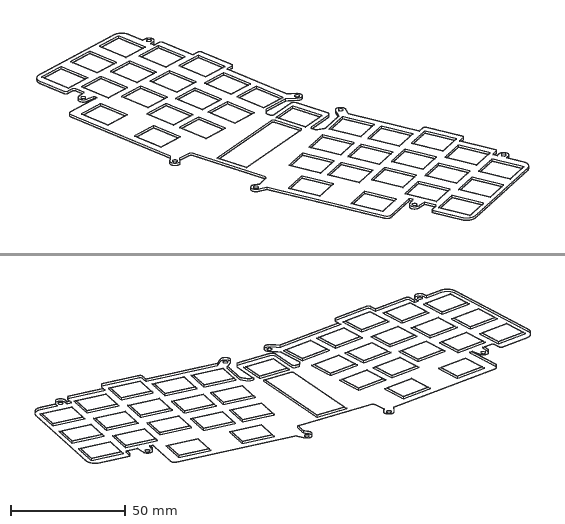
import cadquery as cq
import math


THICKNESS = 1.2
TILT_DEG = 7.0

PITCH = 19.05
SWITCH_WIDTH = 15.6
SWITCH_HEIGHT = 12.8
BLOCK_RIGHT = -17.83
HOME_Y = 4.08
STAGGER = PITCH / 4
COLUMN_STAGGERS = [0, 0, STAGGER, 0, -STAGGER]
ROW_OFFSETS = [-PITCH, 0, PITCH]
INNER_THUMB_UNITS = 2.0
OUTER_THUMB_UNITS = 1.25
THUMB_Y = HOME_Y - 2 * PITCH

RIM = 0.475
THUMB_SIDE_RIM = 0.8
COLUMN_3_SIDE_RIM = 0.4
COLUMN_3_TOP_RIM = 0.21
OUTER_COLUMN_TOP_RIM = 0.8
CELL_HALF = PITCH / 2
BLOCK_LEFT = BLOCK_RIGHT - len(COLUMN_STAGGERS) * PITCH - RIM
COLUMN_1_RIGHT = BLOCK_RIGHT - 4 * PITCH
COLUMN_2_RIGHT = BLOCK_RIGHT - 3 * PITCH - COLUMN_3_SIDE_RIM
COLUMN_3_RIGHT = BLOCK_RIGHT - 2 * PITCH + COLUMN_3_SIDE_RIM
LEVEL_TOP = HOME_Y + PITCH + CELL_HALF + RIM
COLUMN_3_TOP = HOME_Y + PITCH + CELL_HALF + STAGGER + COLUMN_3_TOP_RIM
COLUMN_1_TOP = HOME_Y + PITCH + CELL_HALF - STAGGER + OUTER_COLUMN_TOP_RIM
LEVEL_BOTTOM = HOME_Y - PITCH - CELL_HALF
COLUMN_1_BOTTOM = LEVEL_BOTTOM - STAGGER - RIM
THUMB_LEFT = BLOCK_RIGHT - (INNER_THUMB_UNITS + OUTER_THUMB_UNITS) * PITCH - THUMB_SIDE_RIM
THUMB_BOTTOM = THUMB_Y - CELL_HALF - RIM
FOOT_RIGHT = -16.2

OUTER_CORNER_RADIUS = 4.5
THUMB_CORNER_RADIUS = 2.0
SMALL_RADIUS = 1.0
FOOT_RADIUS = 1.5

LUG_RADIUS = 2.3
SCREW_DIAMETER = 2.1
TOP_OUTER_LUG = (-98.55, 30.35)
TOP_INNER_LUG = (-15.9, 34.7)
BOTTOM_OUTER_LUG = (-85.1, -28.4)
BOTTOM_INNER_LUG = (-16.0, -46.05)
LUGS = [TOP_OUTER_LUG, TOP_INNER_LUG, BOTTOM_OUTER_LUG, BOTTOM_INNER_LUG]

WEB_OVERLAP = 0.5
TOP_WEB_REACH_X = 2.7
TOP_WEB_REACH_Y = 3.8
BOTTOM_WEB_FLARE = 0.6
FOOT_WEB_LEFT = FOOT_RIGHT - 4.2
FOOT_WEB_RISE = 1.2

CENTRE_HALF_WIDTH = 10.0
CENTRE_TOP = 31.0
CENTRE_BOTTOM = -33.5
CENTRE_CORNER_RADIUS = 2.0
CENTRE_KEY_Y = 21.1
WINDOW_TOP = 12.2
WINDOW_BOTTOM = -31.0
WINDOW_RADIUS = 0.8

SLOT_SIDE_END_Y = 16.3
SLOT_BOTTOM_Y = 15.0
SLOT_BOTTOM_LEFT_X = -13.2
SLOT_RADIUS = 1.2


def tilt(x, y):
    """Turn a point of the left block frame into plate coordinates."""
    angle = math.radians(-TILT_DEG)
    return (x * math.cos(angle) - y * math.sin(angle), x * math.sin(angle) + y * math.cos(angle))


def toward(start, end, distance):
    """Return the point at a distance from start on the way to end."""
    fraction = distance / math.dist(start, end)
    return (start[0] + (end[0] - start[0]) * fraction, start[1] + (end[1] - start[1]) * fraction)


def rounded_plate(corners):
    """Extrude a closed outline of (point, radius) corners; radius 0 leaves a corner sharp."""
    points = [point for point, _ in corners]
    path = None
    for index, (corner, radius) in enumerate(corners):
        before = points[index - 1]
        after = points[(index + 1) % len(points)]
        if radius == 0:
            path = path.lineTo(*corner) if path else cq.Workplane("XY").moveTo(*corner)
            continue
        heading_before = math.atan2(before[1] - corner[1], before[0] - corner[0])
        heading_after = math.atan2(after[1] - corner[1], after[0] - corner[0])
        half_angle = abs(math.remainder(heading_after - heading_before, 2 * math.pi)) / 2
        setback = radius / math.tan(half_angle)
        arc_start = toward(corner, before, setback)
        arc_end = toward(corner, after, setback)
        chord_middle = ((arc_start[0] + arc_end[0]) / 2, (arc_start[1] + arc_end[1]) / 2)
        arc_middle = toward(corner, chord_middle, radius / math.sin(half_angle) - radius)
        path = path.lineTo(*arc_start).threePointArc(arc_middle, arc_end)
    return path.close().extrude(THICKNESS)


def left_half():
    """Left half of the plate without openings, from the key block to the YZ plane."""
    block_corners = [
        (FOOT_WEB_LEFT, THUMB_BOTTOM, 0),
        (THUMB_LEFT, THUMB_BOTTOM, THUMB_CORNER_RADIUS),
        (THUMB_LEFT, LEVEL_BOTTOM, 0),
        (COLUMN_1_RIGHT, LEVEL_BOTTOM, SMALL_RADIUS),
        (COLUMN_1_RIGHT, COLUMN_1_BOTTOM, SMALL_RADIUS),
        (BLOCK_LEFT, COLUMN_1_BOTTOM, OUTER_CORNER_RADIUS),
        (BLOCK_LEFT, COLUMN_1_TOP, OUTER_CORNER_RADIUS),
        (COLUMN_1_RIGHT, COLUMN_1_TOP, 0),
        (COLUMN_1_RIGHT, LEVEL_TOP, SMALL_RADIUS),
        (COLUMN_2_RIGHT, LEVEL_TOP, 0),
        (COLUMN_2_RIGHT, COLUMN_3_TOP, SMALL_RADIUS),
        (COLUMN_3_RIGHT, COLUMN_3_TOP, SMALL_RADIUS),
        (COLUMN_3_RIGHT, LEVEL_TOP, 0),
        (BLOCK_RIGHT, LEVEL_TOP, 0),
        (BLOCK_RIGHT, SLOT_SIDE_END_Y, SLOT_RADIUS),
    ]
    foot_top_x = tilt(FOOT_RIGHT, CENTRE_BOTTOM)[0]
    corners = [(tilt(x, y), radius) for x, y, radius in block_corners]
    corners += [
        ((SLOT_BOTTOM_LEFT_X, SLOT_BOTTOM_Y), SLOT_RADIUS),
        ((-CENTRE_HALF_WIDTH, SLOT_BOTTOM_Y), SLOT_RADIUS),
        ((-CENTRE_HALF_WIDTH, CENTRE_TOP), CENTRE_CORNER_RADIUS),
        ((0, CENTRE_TOP), 0),
        ((0, CENTRE_BOTTOM), 0),
        ((foot_top_x, CENTRE_BOTTOM), FOOT_RADIUS),
        (tilt(FOOT_RIGHT, THUMB_BOTTOM), 0),
    ]
    return rounded_plate(corners)


def lug_web(block_points):
    """Sharp-cornered web that ties a lug to the key block."""
    return rounded_plate([(tilt(x, y), 0) for x, y in block_points])


def lugs():
    """Left-half lug discs with the webs that carry them."""
    discs = cq.Workplane("XY").pushPoints([tilt(*lug) for lug in LUGS]).circle(LUG_RADIUS)
    body = discs.extrude(THICKNESS)
    diagonal = LUG_RADIUS * math.sqrt(0.5)

    x, y = TOP_OUTER_LUG
    body = body.union(lug_web([
        (x - LUG_RADIUS, COLUMN_1_TOP - WEB_OVERLAP),
        (x + LUG_RADIUS, COLUMN_1_TOP - WEB_OVERLAP),
        (x + LUG_RADIUS, y),
        (x - LUG_RADIUS, y),
    ]))

    x, y = TOP_INNER_LUG
    body = body.union(lug_web([
        (BLOCK_RIGHT - TOP_WEB_REACH_X, LEVEL_TOP),
        (BLOCK_RIGHT, LEVEL_TOP - TOP_WEB_REACH_Y),
        (x + diagonal, y - diagonal),
        (x - diagonal, y + diagonal),
    ]))

    x, y = BOTTOM_OUTER_LUG
    body = body.union(lug_web([
        (x - LUG_RADIUS - BOTTOM_WEB_FLARE, LEVEL_BOTTOM),
        (x - LUG_RADIUS, y),
        (x + LUG_RADIUS, y),
        (x + LUG_RADIUS + BOTTOM_WEB_FLARE, LEVEL_BOTTOM),
    ]))

    x, y = BOTTOM_INNER_LUG
    body = body.union(lug_web([
        (FOOT_RIGHT, THUMB_BOTTOM + FOOT_WEB_RISE),
        (FOOT_WEB_LEFT, THUMB_BOTTOM),
        (x - diagonal, y - diagonal),
        (x + diagonal, y + diagonal),
    ]))
    return body


def left_openings():
    """Switch openings and screw holes of the left half."""
    inner_thumb_x = BLOCK_RIGHT - INNER_THUMB_UNITS * PITCH / 2
    outer_thumb_x = BLOCK_RIGHT - (INNER_THUMB_UNITS + OUTER_THUMB_UNITS / 2) * PITCH
    keys = [(inner_thumb_x, THUMB_Y), (outer_thumb_x, THUMB_Y)]
    for column, stagger in enumerate(COLUMN_STAGGERS):
        x = BLOCK_RIGHT - (column + 0.5) * PITCH
        keys += [(x, HOME_Y + stagger + offset) for offset in ROW_OFFSETS]
    switches = cq.Workplane("XY").pushPoints(keys).rect(SWITCH_WIDTH, SWITCH_HEIGHT).extrude(THICKNESS)
    screws = cq.Workplane("XY").pushPoints(LUGS).circle(SCREW_DIAMETER / 2).extrude(THICKNESS)
    return switches.add(screws).combine().rotate((0, 0, 0), (0, 0, 1), -TILT_DEG)


def centre_openings():
    """Centre key opening and the tall window below it."""
    key = cq.Workplane("XY").center(0, CENTRE_KEY_Y).rect(SWITCH_WIDTH, SWITCH_HEIGHT).extrude(THICKNESS)
    window = (
        cq.Workplane("XY")
        .center(0, (WINDOW_TOP + WINDOW_BOTTOM) / 2)
        .rect(SWITCH_WIDTH, WINDOW_TOP - WINDOW_BOTTOM)
        .extrude(THICKNESS)
        .edges("|Z and >Y")
        .fillet(WINDOW_RADIUS)
    )
    return key.add(window).combine()


half = left_half().union(lugs()).cut(left_openings())
result = half.union(half.mirror("YZ")).cut(centre_openings()).clean()